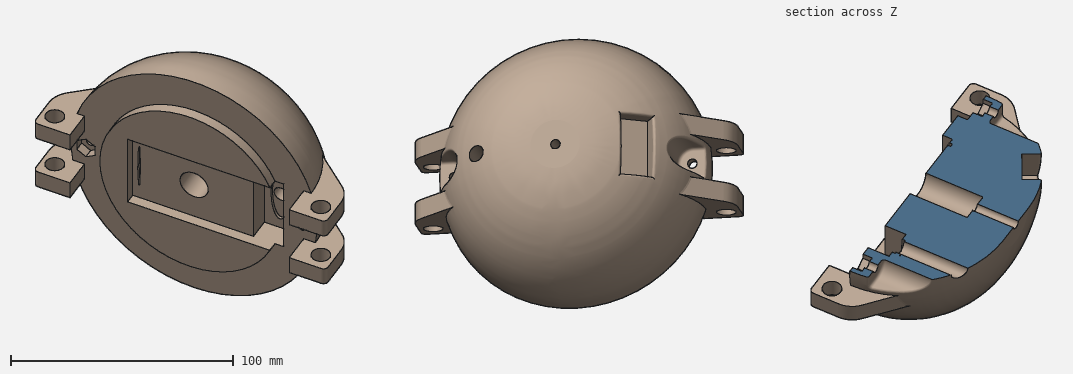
import cadquery as cq
import math

dome_diameter = 124.1
dome_height = 50.8

pad_diameter = 90.0
pad_height = 5.0

pocket_left = -31.0
pocket_right = 45.1
pocket_height = 37.8
slot_left = 30.0
slot_depth = 10.8

shaft_bore_diameter = 14.2
shaft_bore_depth = 29.5
screw_hole_diameter = 4.3

cable_x = 37.8
cable_hole_diameter = 7.2
cable_recess_width = 8.9
cable_recess_height = 27.3
slit_x = -27.7
slit_width = 1.5
slit_height = 23.0
recess_depth = 1.5

side_screw_x = 54.6
nut_across_flats = 9.1
nut_depth = 4.7
head_recess_x = 55.3
head_recess_diameter = 14.3
head_recess_floor = 9.3
head_recess_fillet = 1.5

window_x = -36.3
window_y = 43.2
window_length = 15.2
window_height = 28.0
window_depth = 8.7
window_tilt = 30.0

rim_radius = 1.0

overall_width = 147.5
lug_inner_x = 55.3
lug_bottom = -14.3
lug_thickness = 9.0
lug_gap = 19.9
lug_shoulder_y = 6.8
lug_slope = 40.0
lug_root_x = 44.3
lug_shoulder_radius = 12.7
lug_toe_radius = 2.4
lug_root_bevel = 0.5
hinge_x = 67.1
hinge_y = -6.2
hinge_hole_diameter = 8.9


def base_plane(y):
    """Sketch plane facing +Y at height y, with local X along X and local Y along -Z."""
    return cq.Workplane(cq.Plane(origin=(0, y, 0), xDir=(1, 0, 0), normal=(0, 1, 0)))


def make_dome():
    """Quarter-round profile with a small flat crown, turned about the Y axis."""
    base_radius = dome_diameter / 2
    crown_radius = base_radius - dome_height
    diagonal = dome_height * math.sqrt(0.5)
    return (
        cq.Workplane("YZ")
        .lineTo(0, -base_radius)
        .threePointArc((diagonal, -crown_radius - diagonal), (dome_height, -crown_radius))
        .lineTo(dome_height, 0)
        .close()
        .revolve(360, (0, 0, 0), (1, 0, 0))
    )


def head_recess(side):
    """U-shaped cutter, open toward the outside, with a rounded bottom edge."""
    floor = base_plane(head_recess_floor)
    round_end = (
        floor.center(side * head_recess_x, 0)
        .circle(head_recess_diameter / 2)
        .extrude(dome_height)
    )
    straight_part = (
        floor.center(side * (head_recess_x + head_recess_diameter / 2), 0)
        .rect(head_recess_diameter, head_recess_diameter)
        .extrude(dome_height)
    )
    return round_end.union(straight_part).faces("<Y").edges().fillet(head_recess_fillet)


def window():
    """Rectangular cutter sunk square to the tilted surface of the dome."""
    tilt = math.radians(window_tilt)
    outward = (-math.sin(tilt), math.cos(tilt), 0)
    along = (math.cos(tilt), math.sin(tilt), 0)
    plane = cq.Plane(origin=(window_x, window_y, 0), xDir=along, normal=outward)
    return (
        cq.Workplane(plane)
        .workplane(offset=-window_depth)
        .rect(window_length, window_height)
        .extrude(2 * window_depth)
    )


def round_rim(body, cutter):
    """Fillet the edges where the dome surface meets the walls left by a cutter."""
    margin = rim_radius
    reach = cutter.val().BoundingBox()
    low = (reach.xmin - margin, reach.ymin - margin, reach.zmin - margin)
    high = (reach.xmax + margin, reach.ymax + margin, reach.zmax + margin)
    rim = body.faces("%REVOLUTION").edges(cq.selectors.BoxSelector(low, high))
    return rim.fillet(rim_radius)


def hinge_lug(side, center_z):
    """Lug with a rounded shoulder, a sloped back reaching into the dome and a pin hole."""
    edge_x = overall_width / 2
    root_y = lug_shoulder_y + (edge_x - lug_root_x) * math.tan(math.radians(lug_slope))
    outline = [
        (side * lug_inner_x, lug_bottom),
        (side * edge_x, lug_bottom),
        (side * edge_x, lug_shoulder_y),
        (side * lug_root_x, root_y),
        (side * lug_root_x, 0),
        (side * lug_inner_x, 0),
    ]
    lug = (
        cq.Workplane("XY", origin=(0, 0, center_z - lug_thickness / 2))
        .polyline(outline)
        .close()
        .extrude(lug_thickness)
    )
    outer = ">X" if side > 0 else "<X"
    lug = lug.faces(outer).edges("|Z and >Y").fillet(lug_shoulder_radius)
    lug = lug.faces(outer).edges("|Z and <Y").fillet(lug_toe_radius)
    hole = (
        cq.Workplane("XY", origin=(side * hinge_x, hinge_y, center_z - lug_thickness / 2))
        .circle(hinge_hole_diameter / 2)
        .extrude(lug_thickness)
    )
    return lug.cut(hole)


def bevel_lug_root(body, side, center_z):
    """Ease the inside corner where the sloped back of a lug runs into the dome."""
    half_band = lug_thickness / 4
    low = (side * lug_root_x, lug_shoulder_y, center_z - half_band)
    high = (side * lug_inner_x, dome_height, center_z + half_band)
    return body.edges(cq.selectors.BoxSelector(low, high)).chamfer(lug_root_bevel)


def rectangle_cutter(left, right, start_y, depth):
    return (
        base_plane(start_y)
        .center((left + right) / 2, 0)
        .rect(right - left, pocket_height)
        .extrude(depth)
    )


def ellipse_cutter(x, floor_y, width, height):
    return (
        base_plane(floor_y)
        .center(x, 0)
        .ellipse(width / 2, height / 2)
        .extrude(recess_depth)
    )


def round_cutter(x, diameter, depth):
    return base_plane(0).center(x, 0).circle(diameter / 2).extrude(depth)


body = make_dome()
for cutter in [head_recess(-1), head_recess(1), window()]:
    body = round_rim(body.cut(cutter), cutter)

lug_level = (lug_gap + lug_thickness) / 2
for side in (-1, 1):
    for center_z in (-lug_level, lug_level):
        body = bevel_lug_root(body.union(hinge_lug(side, center_z)), side, center_z)

body = body.union(base_plane(-pad_height).circle(pad_diameter / 2).extrude(pad_height))

pocket = rectangle_cutter(pocket_left, pocket_right, -pad_height, pad_height)
slot = rectangle_cutter(slot_left, pocket_right, 0, slot_depth)
body = body.cut(pocket).cut(slot)

slit = ellipse_cutter(slit_x, 0, slit_width, slit_height)
cable_recess = ellipse_cutter(cable_x, slot_depth, cable_recess_width, cable_recess_height)
body = body.cut(slit).cut(cable_recess)

body = body.cut(round_cutter(cable_x, cable_hole_diameter, dome_height))
body = body.cut(round_cutter(0, shaft_bore_diameter, shaft_bore_depth))
for x in (-side_screw_x, 0, side_screw_x):
    body = body.cut(round_cutter(x, screw_hole_diameter, dome_height))

nut_across_corners = nut_across_flats / math.cos(math.pi / 6)
for x in (-side_screw_x, side_screw_x):
    nut = (
        base_plane(0)
        .center(x, 0)
        .transformed(rotate=(0, 0, 90))
        .polygon(6, nut_across_corners)
        .extrude(nut_depth)
    )
    body = body.cut(nut)

result = body